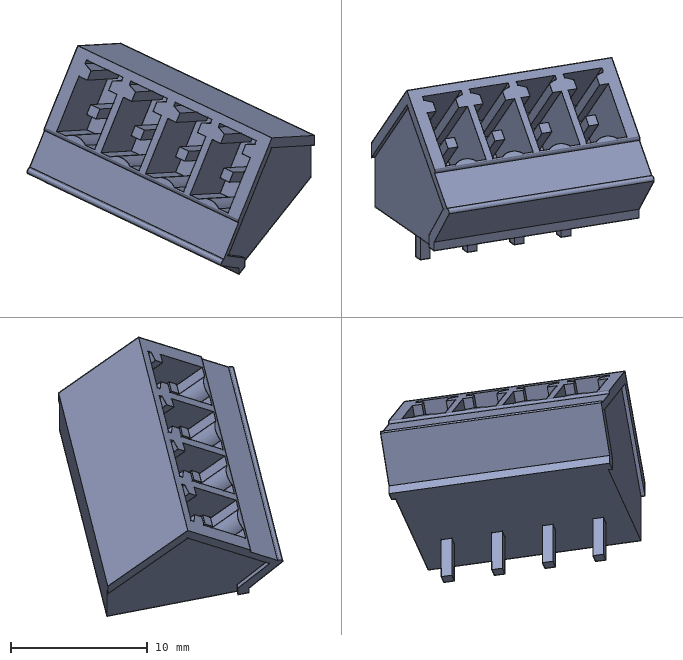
import cadquery as cq
import math


ROOT2 = math.sqrt(2)

length = 16.63
height = 10.98
ridge_y = -5.99
foot_y = -10.58
foot_height = 0.68
nose_y = -13.1
nose_top = 3.97
nose_radius = 0.3

step_position = 6.79
step_height = 0.2

end_recess_depth = 0.3
end_recess_drop = 1.13
end_recess_foot_y = -9.75
end_recess_foot_height = 1.0
end_recess_corner_y = -12.1

socket_count = 4
pitch = 3.8
socket_depth = 5.99
socket_half_width = 1.63
socket_top = 2.01
socket_bottom = 6.44
neck_half_width = 0.91
neck_top = 1.26
key_half_width = 1.56
key_side_bottom = 0.98
key_top = 0.68
rib_half_width = 0.85
rib_height = 0.32

pin_size = 0.8
pin_leg_y = -3.3
pin_leg_length = 3.23
pin_position = 4.15
pin_tip_depth = 1.23

socket_centres = [pitch * (i - (socket_count - 1) / 2) for i in range(socket_count)]

socket_plane = cq.Plane(origin=(0, ridge_y, height), xDir=(1, 0, 0), normal=(0, -1, 1))


def slope_point(distance, depth):
    """(Y, Z) of a point at a distance down the slope from the ridge and a depth below the socket face."""
    return (
        ridge_y + (depth - distance) / ROOT2,
        height - (depth + distance) / ROOT2,
    )


def prism(profile, width):
    """Extrude a YZ profile evenly to both sides of X = 0."""
    return profile.close().extrude(width / 2, both=True)


def make_blank():
    """Outer block of the housing, with the step and the nose rounded."""
    inset = 1 - 1 / ROOT2
    step_start = slope_point(step_position - step_height, 0)
    step_middle = slope_point(step_position - inset * step_height, inset * step_height)
    step_end = slope_point(step_position, step_height)
    nose_back = step_end[0] - (step_end[1] - nose_top)
    nose_middle = (nose_y + inset * nose_radius, nose_top - inset * nose_radius)
    profile = (
        cq.Workplane("YZ")
        .moveTo(0, 0)
        .lineTo(0, height + ridge_y)
        .lineTo(ridge_y, height)
        .lineTo(*step_start)
        .threePointArc(step_middle, step_end)
        .lineTo(nose_back, nose_top)
        .lineTo(nose_y + nose_radius, nose_top)
        .threePointArc(nose_middle, (nose_y, nose_top - nose_radius))
        .lineTo(foot_y, foot_height)
        .lineTo(foot_y, 0)
    )
    return prism(profile, length)


def make_end_recesses():
    """Volumes removed from the two ends, open at the back and at the underside."""
    recess_top = height - end_recess_drop
    outline = [
        (0, 0),
        (0, recess_top + ridge_y),
        (ridge_y, recess_top),
        (end_recess_corner_y, recess_top + end_recess_corner_y - ridge_y),
        (end_recess_foot_y, end_recess_foot_height),
        (end_recess_foot_y, 0),
    ]
    full = prism(cq.Workplane("YZ").polyline(outline), length)
    core = prism(cq.Workplane("YZ").polyline(outline), length - 2 * end_recess_depth)
    return full.cut(core)


def make_socket(x):
    """Keyed socket volume centred at x: dovetail key, neck, wide chamber with the rib left standing."""
    return (
        cq.Workplane(socket_plane)
        .center(x, 0)
        .moveTo(-rib_half_width, -socket_bottom)
        .lineTo(-socket_half_width, -socket_bottom)
        .lineTo(-socket_half_width, -socket_top)
        .lineTo(-neck_half_width, -socket_top)
        .lineTo(-neck_half_width, -neck_top)
        .lineTo(-key_half_width, -key_side_bottom)
        .lineTo(-key_half_width, -key_top)
        .lineTo(key_half_width, -key_top)
        .lineTo(key_half_width, -key_side_bottom)
        .lineTo(neck_half_width, -neck_top)
        .lineTo(neck_half_width, -socket_top)
        .lineTo(socket_half_width, -socket_top)
        .lineTo(socket_half_width, -socket_bottom)
        .lineTo(rib_half_width, -socket_bottom)
        .threePointArc((0, rib_height - socket_bottom), (-rib_half_width, -socket_bottom))
        .close()
        .extrude(-socket_depth)
    )


def make_pin(x):
    """Square contact pin centred at x: a contact square to the socket face, bent into a vertical leg."""
    half = pin_size / 2
    tip_upper = slope_point(pin_position - half, pin_tip_depth)
    tip_lower = slope_point(pin_position + half, pin_tip_depth)
    leg_back = pin_leg_y + half
    leg_front = pin_leg_y - half
    bend_back = tip_upper[1] - (leg_back - tip_upper[0])
    bend_front = tip_lower[1] - (leg_front - tip_lower[0])
    profile = cq.Workplane("YZ").polyline([
        tip_upper,
        tip_lower,
        (leg_front, bend_front),
        (leg_front, -pin_leg_length),
        (leg_back, -pin_leg_length),
        (leg_back, bend_back),
    ])
    return prism(profile, pin_size).translate((x, 0, 0))


def make_housing(pins):
    """Housing with its end recesses, its sockets and a fitting passage for each pin."""
    body = make_blank().cut(make_end_recesses())
    for x in socket_centres:
        body = body.cut(make_socket(x))
    for pin in pins:
        body = body.cut(pin)
    return body


pins = [make_pin(x) for x in socket_centres]
housing = make_housing(pins)

result = cq.Compound.makeCompound([housing.solids().val(), *[pin.val() for pin in pins]])